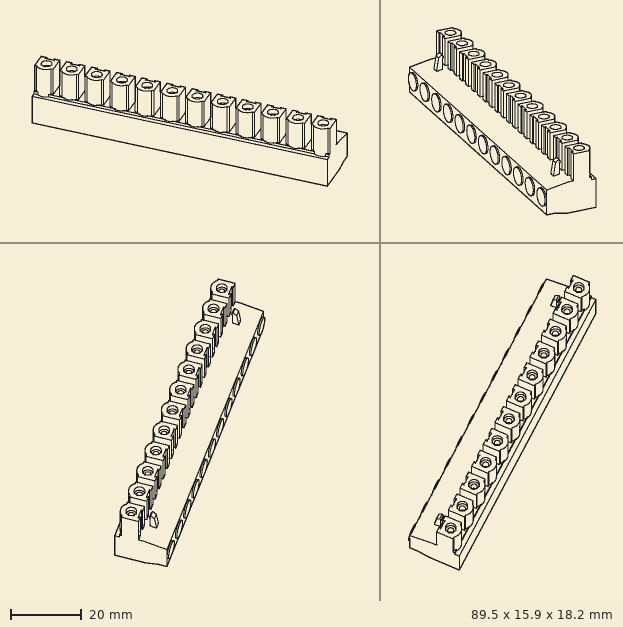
import cadquery as cq

length = 89.45
body_depth = 15.5
ledge_height = 8.95
ledge_depth = 1.4
deck_height = 9.75
deck_depth = 8.7
back_top_height = 8.6
bottom_flat_depth = 9.1
bottom_ramp_end = 13.0
back_bottom_height = 0.8

tower_count = 12
tower_width = 5.6
tower_top = 18.2
tower_back = 7.1
tower_shoulder = 2.0
tower_front = 0.9
round_front_width = 4.4
screw_y = 4.0
pitch = (length - tower_width) / (tower_count - 1)
tower_centers = [tower_width / 2 + i * pitch for i in range(tower_count)]

recess_diameter = 3.0
recess_depth = 1.5
bore_diameter = 1.7
bore_depth = 2.7

groove_depth = 0.5
groove_mouth_width = 2.15
groove_floor_width = 2.9

plug_diameter = 5.3
plug_length = 0.45
plug_height = 5.3

hook_width = 1.7
hook_root_back = 10.55
hook_neck_front = 8.7
hook_shoulder = (9.9, 13.5)
hook_tip = (8.9, 14.4)
hook_barb = (8.4, 13.5)
hook_neck = (hook_neck_front, 13.1)
hook_root_height = 8.05


def extrude_along_x(points, start, width):
    """Solid with the given Y-Z outline, running in +X from start."""
    return cq.Workplane("YZ", origin=(start, 0, 0)).polyline(points).close().extrude(width)


def make_body():
    outline = [
        (0, 0),
        (bottom_flat_depth, 0),
        (bottom_ramp_end, back_bottom_height),
        (body_depth, back_bottom_height),
        (body_depth, back_top_height),
        (deck_depth, deck_height),
        (ledge_depth, deck_height),
        (ledge_depth, ledge_height),
        (0, ledge_height),
    ]
    return extrude_along_x(outline, 0, length)


def make_tower(center, base_height):
    """Square-backed tower with a round front and a dovetail groove in its back."""
    half_width = tower_width / 2
    half_chord = round_front_width / 2
    half_mouth = groove_mouth_width / 2
    half_floor = groove_floor_width / 2
    groove_floor = tower_back - groove_depth
    return (
        cq.Workplane("XY", origin=(center, 0, base_height))
        .moveTo(-half_width, tower_back)
        .lineTo(-half_width, tower_shoulder)
        .lineTo(-half_chord, tower_shoulder)
        .threePointArc((0, tower_front), (half_chord, tower_shoulder))
        .lineTo(half_width, tower_shoulder)
        .lineTo(half_width, tower_back)
        .lineTo(half_mouth, tower_back)
        .lineTo(half_floor, groove_floor)
        .lineTo(-half_floor, groove_floor)
        .lineTo(-half_mouth, tower_back)
        .close()
        .extrude(tower_top - base_height)
    )


def make_plug(center):
    return (
        cq.Workplane("XZ", origin=(center, body_depth, plug_height))
        .circle(plug_diameter / 2)
        .extrude(-plug_length)
    )


def make_hook(center):
    outline = [
        (hook_neck_front, hook_root_height),
        hook_neck,
        hook_barb,
        hook_tip,
        hook_shoulder,
        (hook_root_back, deck_height),
        (hook_root_back, hook_root_height),
    ]
    return extrude_along_x(outline, center - hook_width / 2, hook_width)


result = make_body()

for center in tower_centers:
    is_end = center in (tower_centers[0], tower_centers[-1])
    result = result.union(make_tower(center, ledge_height if is_end else deck_height))
    result = result.union(make_plug(center))

first_gap = (tower_centers[0] + tower_centers[1]) / 2
for center in (first_gap, length - first_gap):
    result = result.union(make_hook(center))

screw_points = [(center, screw_y) for center in tower_centers]
for diameter, depth in (
    (recess_diameter, recess_depth),
    (bore_diameter, recess_depth + bore_depth),
):
    holes = (
        cq.Workplane("XY", origin=(0, 0, tower_top))
        .pushPoints(screw_points)
        .circle(diameter / 2)
        .extrude(-depth)
    )
    result = result.cut(holes)